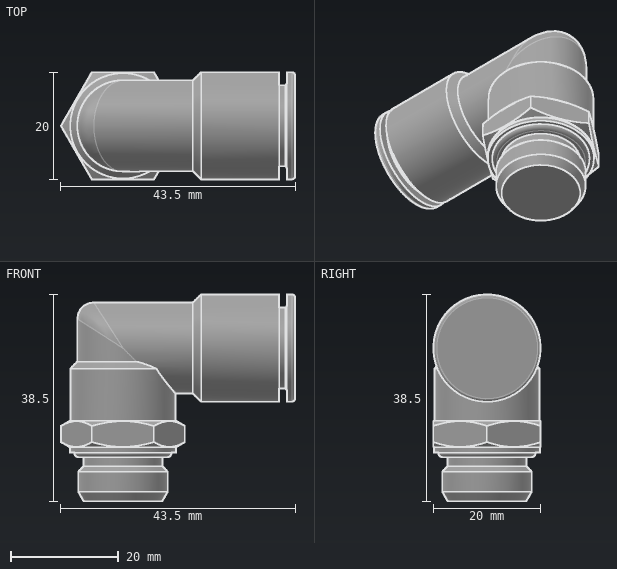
import cadquery as cq
import math

hex_across_flats = 20.0
outlet_diameter = hex_across_flats
overall_height = 38.5
outlet_axis_z = overall_height - outlet_diameter / 2
pipe_diameter = 17.0
barrel_diameter = 19.6

hex_top_z = 15.02
shoulder_z = 26.0
barrel_chamfer = (barrel_diameter - pipe_diameter) / 2
mitre_fillet = 3.05
pipe_radius = pipe_diameter / 2
core_radius = pipe_radius - mitre_fillet
cone_start_x = 13.0
outlet_cone = (outlet_diameter - pipe_diameter) / 2
outlet_end_x = 29.05

collet_end_x = 32.0
collet_neck_diameter = 15.1
collar_thickness = 1.52
collar_round = 0.6
neck_flare = 0.3

hex_bottom_z = 10.0
hex_chamfer_angle = 30.0
hex_corner_radius = hex_across_flats / (2 * math.cos(math.radians(30)))
hex_chamfer_radius = barrel_diameter / 2
thread_diameter = 16.7
tip_diameter = 14.65
tip_chamfer_height = 1.8
thread_end_z = 5.55
undercut_diameter = 14.75
undercut_start_z = 6.55
flange_diameter = 19.75
flange_bottom_z = 9.05

seal_bottom_z = 8.2
seal_diameter = 18.1
seal_round = 0.83


def revolve_about_z(outline):
    """Revolve a closed (radius, z) outline about the Z axis."""
    return outline.close().revolve(360, (0, 0, 0), (0, 1, 0))


def pipe_half(radius, slope, length):
    """Pipe along +X from the origin, cut by x = -slope * z above the axis and x = -z below it."""
    pipe = cq.Workplane("YZ").workplane(offset=-radius).circle(radius).extrude(length + radius)
    keep = (
        cq.Workplane("XZ")
        .polyline([(-slope * radius, radius), (length, radius), (length, -radius), (radius, -radius), (0, 0)])
        .close()
        .extrude(radius, both=True)
    )
    return pipe.intersect(keep)


def turned_down(pipe):
    """Mirror a pipe along +X in the mitre plane x = -z, giving the pipe along -Z."""
    return pipe.rotate((0, 0, 0), (0, 1, 0), 90).mirror("YZ")


def rounded_mitre():
    """Wedge at the outer corner, bounded by a ball rolled inside both pipes.

    The ball's centre follows the half ellipse where two thinner pipes would meet.
    """
    ellipse_plane = cq.Plane(origin=(0, 0, 0), xDir=(-1, 0, 1), normal=(1, 0, 1))
    centre_path = cq.Workplane(ellipse_plane).ellipseArc(
        core_radius * math.sqrt(2), core_radius, -90, 90, startAtCurrent=False
    )
    start_plane = cq.Plane(origin=(0, core_radius, 0), xDir=(0, 1, 0), normal=(-1, 0, 1))
    rolled_edge = cq.Workplane(start_plane).circle(mitre_fillet).sweep(centre_path)

    thin_pipe = pipe_half(core_radius, 1, pipe_diameter)
    core = thin_pipe.union(turned_down(thin_pipe))
    wedge = (
        cq.Workplane("XZ")
        .polyline([
            (0, 0),
            (-core_radius, pipe_radius),
            (-pipe_radius, pipe_radius),
            (-pipe_radius, core_radius),
        ])
        .close()
        .extrude(pipe_radius, both=True)
    )
    return rolled_edge.union(core).intersect(wedge)


def elbow_bend():
    """Two equal pipes mitred at 45 degrees, with the outer mitre edge rounded."""
    contact_slope = core_radius / pipe_radius
    across = pipe_half(pipe_radius, contact_slope, cone_start_x)
    upright = turned_down(pipe_half(pipe_radius, contact_slope, outlet_axis_z - hex_top_z))
    return across.union(upright).union(rounded_mitre()).translate((0, 0, outlet_axis_z))


def elbow_housing():
    """Bend with the barrel over the nipple and the wider outlet socket."""
    barrel_radius = barrel_diameter / 2
    barrel = (
        cq.Workplane("XY").workplane(offset=hex_top_z)
        .circle(barrel_radius)
        .extrude(shoulder_z - hex_top_z)
        .faces(">Z")
        .chamfer(barrel_chamfer)
    )
    outlet = (
        cq.Workplane("YZ", origin=(cone_start_x, 0, outlet_axis_z))
        .circle(outlet_diameter / 2)
        .extrude(outlet_end_x - cone_start_x)
        .faces("<X")
        .chamfer(outlet_cone)
    )
    return elbow_bend().union(barrel).union(outlet)


def release_collet():
    """Neck and collar of the collet, butted against the outlet end."""
    neck_radius = collet_neck_diameter / 2
    collar_start_x = collet_end_x - collar_thickness
    collar_radius = outlet_diameter / 2
    outline = (
        cq.Workplane("XY")
        .moveTo(outlet_end_x, 0)
        .lineTo(outlet_end_x, neck_radius)
        .lineTo(collar_start_x - neck_flare, neck_radius)
        .lineTo(collar_start_x, neck_radius + neck_flare)
        .lineTo(collar_start_x, collar_radius)
        .lineTo(collet_end_x - collar_round, collar_radius)
        .radiusArc((collet_end_x, collar_radius - collar_round), collar_round)
        .lineTo(collet_end_x, 0)
        .close()
    )
    collet = outline.revolve(360, (0, 0, 0), (1, 0, 0))
    return collet.translate((0, 0, outlet_axis_z))


def hexagon():
    """Hexagon with corners on the X axis, turned down to cones at both ends."""
    height = hex_top_z - hex_bottom_z
    prism = (
        cq.Workplane("XY").workplane(offset=hex_bottom_z).polygon(6, 2 * hex_corner_radius).extrude(height)
    )
    drop = (hex_corner_radius - hex_chamfer_radius) * math.tan(math.radians(hex_chamfer_angle))
    cones = revolve_about_z(
        cq.Workplane("XZ").polyline([
            (0, hex_bottom_z),
            (hex_chamfer_radius, hex_bottom_z),
            (hex_corner_radius, hex_bottom_z + drop),
            (hex_corner_radius, hex_top_z - drop),
            (hex_chamfer_radius, hex_top_z),
            (0, hex_top_z),
        ])
    )
    return prism.intersect(cones)


def threaded_nipple():
    """Threaded stem, left plain, with its undercut, flange and hexagon."""
    stem = revolve_about_z(
        cq.Workplane("XZ").polyline([
            (0, 0),
            (tip_diameter / 2, 0),
            (thread_diameter / 2, tip_chamfer_height),
            (thread_diameter / 2, thread_end_z),
            (undercut_diameter / 2, undercut_start_z),
            (undercut_diameter / 2, flange_bottom_z),
            (flange_diameter / 2, flange_bottom_z),
            (flange_diameter / 2, hex_bottom_z),
            (0, hex_bottom_z),
        ])
    )
    return stem.union(hexagon())


def sealing_ring():
    """Ring around the undercut with its lower outer edge rounded."""
    return (
        cq.Workplane("XY").workplane(offset=seal_bottom_z)
        .circle(seal_diameter / 2)
        .circle(undercut_diameter / 2)
        .extrude(flange_bottom_z - seal_bottom_z)
        .faces("<Z")
        .edges(cq.selectors.RadiusNthSelector(-1))
        .fillet(seal_round)
    )


housing = elbow_housing()
collet = release_collet()
nipple = threaded_nipple()
seal = sealing_ring()

result = cq.Compound.makeCompound([housing.val(), collet.val(), nipple.val(), seal.val()])